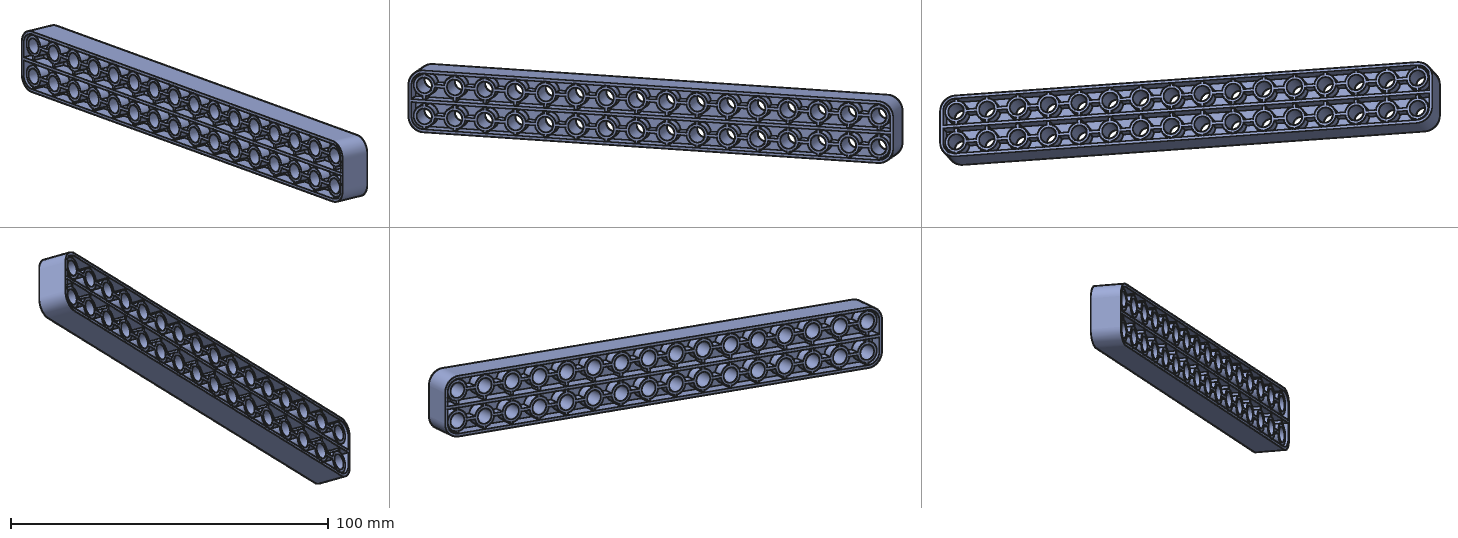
import cadquery as cq

length = 160.0
columns = 16
rows = 2
pitch = length / columns
height = rows * pitch
thickness = pitch
corner_radius = pitch / 2

wall = pitch / 10
hole_diameter = pitch / 2
tube_diameter = hole_diameter + 2 * wall
pocket_depth = (thickness - wall) / 2
lattice_setback = 0.8

row_heights = [(row - (rows - 1) / 2) * pitch for row in range(rows)]
column_places = [(column - (columns - 1) / 2) * pitch for column in range(columns)]
hole_centres = [(x, z) for z in row_heights for x in column_places]

front_face = -thickness / 2


def front_plane(setback=0.0):
    """XZ plane set back from the front face; a negative extrusion goes into the beam."""
    return cq.Workplane("XZ", origin=(0, front_face + setback, 0))


def rounded_plate(inset, depth):
    """Plate reaching back from the front face, with the beam outline moved in by inset."""
    plate = front_plane().rect(length - 2 * inset, height - 2 * inset).extrude(-depth)
    return plate.edges("|Y").fillet(corner_radius - inset)


def lattice():
    """Tubes around the holes and the thin ribs between them, set back from the rim."""
    start = front_plane(lattice_setback)
    depth = pocket_depth - lattice_setback
    row_centres = [(0, z) for z in row_heights]
    tubes = start.pushPoints(hole_centres).circle(tube_diameter / 2).extrude(-depth)
    cross_ribs = start.pushPoints(hole_centres).rect(wall, pitch).extrude(-depth)
    row_ribs = start.pushPoints(row_centres).rect(length - pitch, wall).extrude(-depth)
    return tubes.union(cross_ribs).union(row_ribs)


def front_pocket():
    """Space inside the rim, less the full-height middle rib and the lattice."""
    middle_rib = front_plane().rect(length, wall).extrude(-pocket_depth)
    return rounded_plate(wall, pocket_depth).cut(middle_rib).cut(lattice())


pocket = front_pocket()
holes = front_plane().pushPoints(hole_centres).circle(hole_diameter / 2).extrude(-thickness)

beam = rounded_plate(0, thickness)
beam = beam.cut(pocket).cut(pocket.mirror("XZ"))
result = beam.cut(holes)